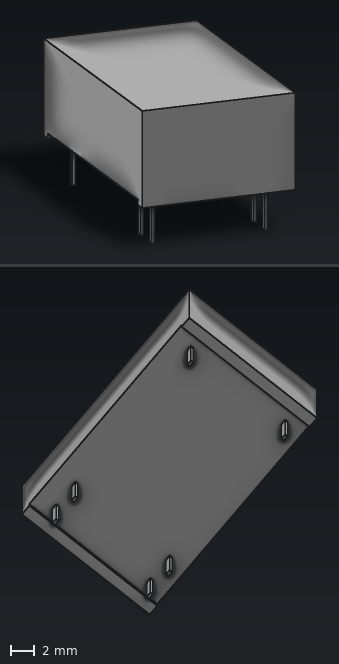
import cadquery as cq

case_length = 22.1
case_width = 13.8
case_height = 8.5
rail_length = 1.0
rail_height = 0.46

pitch = 2.54
pin_width = 0.5
pin_thickness = 0.25
pin_drop = 3.86
pin_columns = [-3.5 * pitch, 2.5 * pitch, 3.5 * pitch]
row_offset = 2 * pitch
row_middle = -0.05
pin_rows = [row_middle - row_offset, row_middle + row_offset]


def make_case():
    """Block with its underside recessed between the two end rails, which rest on Z = 0."""
    block = cq.Workplane("XY").box(
        case_length, case_width, case_height, centered=(True, True, False)
    )
    recess = cq.Workplane("XY").box(
        case_length - 2 * rail_length, case_width, rail_height, centered=(True, True, False)
    )
    return block.cut(recess)


def make_pins():
    """All pins, from the recessed underside of the case down to the pin tips."""
    positions = [(x, y) for x in pin_columns for y in pin_rows]
    return (
        cq.Workplane("XY")
        .workplane(offset=-pin_drop)
        .pushPoints(positions)
        .rect(pin_width, pin_thickness)
        .extrude(pin_drop + rail_height)
    )


result = make_case().union(make_pins())